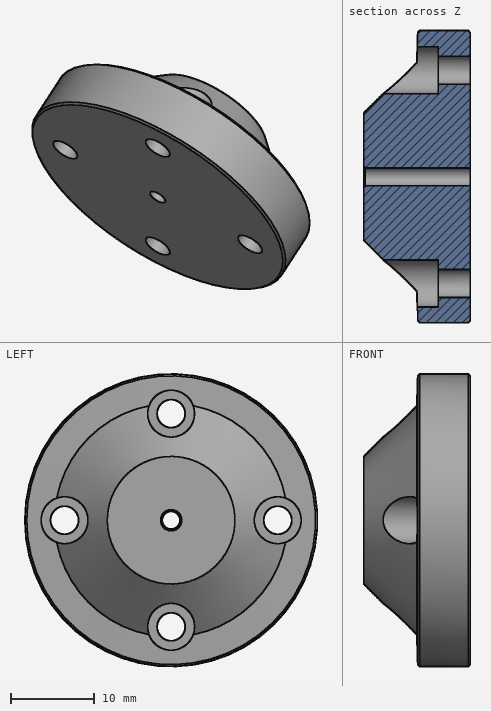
import cadquery as cq

flange_diameter = 34.92
flange_thickness = 6.3
face_rise = 0.1
total_length = 12.7
edge_chamfer = 0.25
hub_tip_diameter = 15.23
hub_base_diameter = 27.8

bolt_circle_radius = 12.7
bolt_count = 4
bolt_hole_diameter = 3.3
counterbore_diameter = 5.6
counterbore_floor = 3.85

bore_diameter = 2.1
bore_chamfer = 0.2


def make_body():
    """Turned body with its back face at X = 0 and a slightly coned front face."""
    flange_radius = flange_diameter / 2
    return (
        cq.Workplane("XY")
        .moveTo(0, 0)
        .lineTo(0, flange_radius - edge_chamfer)
        .lineTo(-edge_chamfer, flange_radius)
        .lineTo(-flange_thickness + edge_chamfer, flange_radius)
        .lineTo(-flange_thickness, flange_radius - edge_chamfer)
        .lineTo(-flange_thickness - face_rise, hub_base_diameter / 2)
        .lineTo(-total_length, hub_tip_diameter / 2)
        .lineTo(-total_length, 0)
        .close()
        .revolve(360, (0, 0, 0), (1, 0, 0))
    )


def cut_bolt_holes(body):
    """Through holes with counterbores that also cut into the hub."""
    pattern = cq.Workplane("YZ").polarArray(bolt_circle_radius, 0, 360, bolt_count)
    holes = pattern.circle(bolt_hole_diameter / 2).extrude(-total_length)
    counterbores = (
        cq.Workplane("YZ", origin=(-counterbore_floor, 0, 0))
        .polarArray(bolt_circle_radius, 0, 360, bolt_count)
        .circle(counterbore_diameter / 2)
        .extrude(counterbore_floor - total_length)
    )
    return body.cut(holes).cut(counterbores)


def cut_bore(body):
    """Through bore, chamfered where it opens on the hub tip."""
    bored = body.cut(cq.Workplane("YZ").circle(bore_diameter / 2).extrude(-total_length))
    tip_edge = cq.selectors.RadiusNthSelector(0)
    return bored.faces("<X").edges(tip_edge).chamfer(bore_chamfer)


result = cut_bore(cut_bolt_holes(make_body()))